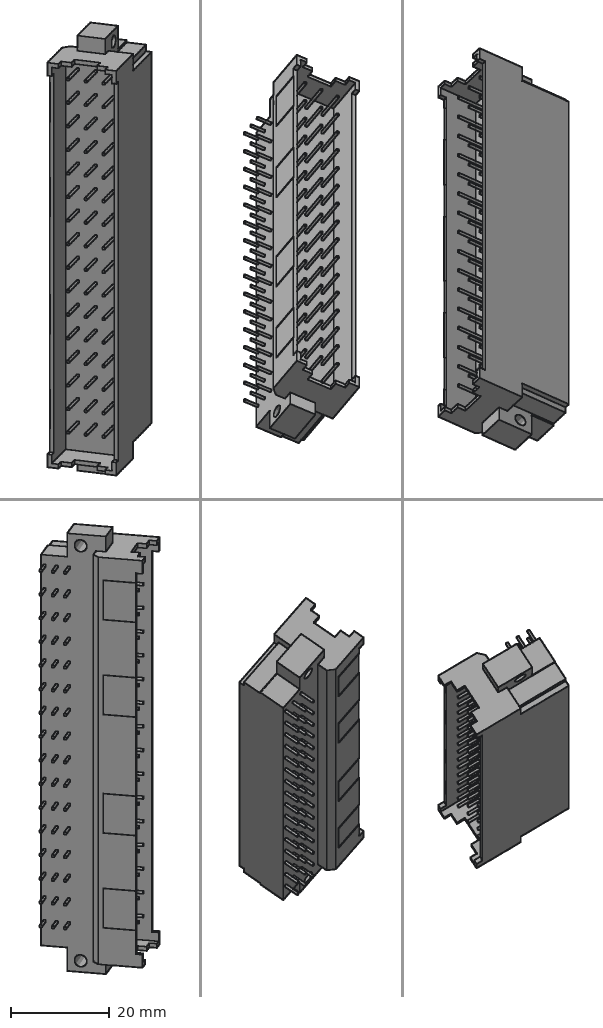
import cadquery as cq

TOTAL_LENGTH = 93.9
TOTAL_DEPTH = 22.0
SHROUD_WIDTH = 14.7
SHROUD_LENGTH = 87.3
SHROUD_DEPTH = 10.5
SHROUD_CHAMFER = 1.3

WALL = 0.9
CAVITY_DEPTH = 8.6
RIM_CORNER_LENGTH = 2.8
SIDE_RIM_DROP = 1.4
END_NOTCHES = [(10.0, 1.6), (5.4, 3.5)]

BLOCK_LEFT = -3.85
TAB_RIGHT = 2.1
STRIP_RIGHT = 6.2
SHROUD_RIGHT = SHROUD_WIDTH / 2
BLOCK_STRIPS = [
    (BLOCK_LEFT, TAB_RIGHT, 83.85),
    (TAB_RIGHT, STRIP_RIGHT, 82.9),
    (STRIP_RIGHT, SHROUD_RIGHT, 80.1),
]

TAB_FRONT = 8.45
TAB_BACK = 16.5
TAB_HOLE_DIAMETER = 2.5
TAB_HOLE_Y = 13.7
TAB_HOLE_FROM_END = 2.4

PIN_DIAMETER = 0.6
PIN_ROOT = 0.5
ROW_COUNT = 16
ROW_SPAN = 76.2
ROW_PITCH = ROW_SPAN / (ROW_COUNT - 1)
TOP_ROW_Z = 39.6
COLUMN_SPAN = 7.6
COLUMN_PITCH = COLUMN_SPAN / 2
MATING_PIN_TIP_Y = 2.5
SOLDER_PIN_TIP_X = -7.0
SOLDER_COLUMNS = 3
SOLDER_PITCH = 2.5
LAST_SOLDER_Y = 21.2

LABEL_ROWS = [1, 5, 10, 14]
LABEL_HEIGHT = 8.45
LABEL_BACK = 8.2
LABEL_DEPTH = 0.1

ROW_HEIGHTS = [TOP_ROW_Z - row * ROW_PITCH for row in range(ROW_COUNT)]


def box(x_range, y_range, z_range):
    """Box spanning the given (low, high) ranges."""
    (x0, x1), (y0, y1), (z0, z1) = x_range, y_range, z_range
    return cq.Workplane("XY").box(x1 - x0, y1 - y0, z1 - z0, centered=False).translate((x0, y0, z0))


def centred(size):
    """(low, high) range of a size centred on zero."""
    return (-size / 2, size / 2)


def make_shroud_blank():
    shroud = box(centred(SHROUD_WIDTH), (0, SHROUD_DEPTH), centred(SHROUD_LENGTH))
    return shroud.edges("|Z and <X and >Y").chamfer(SHROUD_CHAMFER)


def cut_cavity_and_rim(body):
    width = centred(SHROUD_WIDTH)
    cavity_width = centred(SHROUD_WIDTH - 2 * WALL)
    body = body.cut(box(cavity_width, (0, CAVITY_DEPTH), centred(SHROUD_LENGTH - 2 * WALL)))
    side_rim_length = SHROUD_LENGTH - 2 * RIM_CORNER_LENGTH
    body = body.cut(box(width, (0, SIDE_RIM_DROP), centred(side_rim_length)))
    for notch_width, notch_depth in END_NOTCHES:
        body = body.cut(box(centred(notch_width), (0, notch_depth), centred(SHROUD_LENGTH)))
    return body


def cut_label_fields(body):
    wall_face = -SHROUD_WIDTH / 2
    for row in LABEL_ROWS:
        low = ROW_HEIGHTS[row] - LABEL_HEIGHT / 2
        field = box(
            (wall_face, wall_face + LABEL_DEPTH),
            (SIDE_RIM_DROP, LABEL_BACK),
            (low, low + LABEL_HEIGHT),
        )
        body = body.cut(field)
    return body


def add_rear_block(body):
    for left, right, length in BLOCK_STRIPS:
        body = body.union(box((left, right), (CAVITY_DEPTH, TOTAL_DEPTH), centred(length)))
    return body


def add_tabs(body):
    """One bar running the full length; its two ends stand out as the mounting tabs."""
    return body.union(box((BLOCK_LEFT, TAB_RIGHT), (TAB_FRONT, TAB_BACK), centred(TOTAL_LENGTH)))


def make_mating_pins():
    points = [(column * COLUMN_PITCH, z) for column in (-1, 0, 1) for z in ROW_HEIGHTS]
    length = CAVITY_DEPTH + PIN_ROOT - MATING_PIN_TIP_Y
    plane = cq.Workplane("XZ", origin=(0, CAVITY_DEPTH + PIN_ROOT, 0))
    return plane.pushPoints(points).circle(PIN_DIAMETER / 2).extrude(length)


def make_solder_pins():
    columns = [LAST_SOLDER_Y - column * SOLDER_PITCH for column in range(SOLDER_COLUMNS)]
    points = [(y, z) for y in columns for z in ROW_HEIGHTS]
    length = BLOCK_LEFT + PIN_ROOT - SOLDER_PIN_TIP_X
    plane = cq.Workplane("YZ", origin=(SOLDER_PIN_TIP_X, 0, 0))
    return plane.pushPoints(points).circle(PIN_DIAMETER / 2).extrude(length)


def make_tab_holes():
    hole_z = TOTAL_LENGTH / 2 - TAB_HOLE_FROM_END
    points = [(TAB_HOLE_Y, -hole_z), (TAB_HOLE_Y, hole_z)]
    plane = cq.Workplane("YZ", origin=(BLOCK_LEFT, 0, 0))
    return plane.pushPoints(points).circle(TAB_HOLE_DIAMETER / 2).extrude(TAB_RIGHT - BLOCK_LEFT)


connector = add_tabs(add_rear_block(make_shroud_blank()))
connector = connector.cut(make_tab_holes())
connector = cut_label_fields(cut_cavity_and_rim(connector))
result = connector.union(make_mating_pins()).union(make_solder_pins())